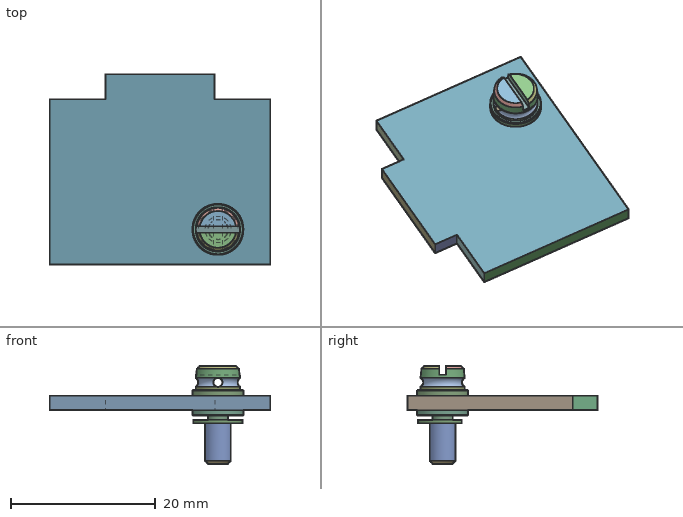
import cadquery as cq

plate_length = 30.5
plate_depth = 22.85
plate_thickness = 2.0
tab_start = 7.72
tab_width = 15.07
tab_depth = 3.45

screw_x = 23.25
screw_y = 4.88
flange_radius = 3.55
flange_height = 0.75
flange_chamfer = 0.12
neck_radius = 1.4
neck_height = 0.58
clip_radius = 3.42
clip_thickness = 0.5
clip_flat_offset = 2.65
shank_radius = 1.8
shank_length = 5.6
shank_chamfer = 0.45

knob_radius = 3.08
knob_rim_radius = 2.95
knob_top_radius = 2.53
knob_height = 3.32
knob_chamfer = 0.43
collar_height = 0.43
groove_height = 1.25
groove_depth = 0.35
slot_width = 0.9
slot_depth = 1.2
cross_hole_diameter = 1.22

flange_top = plate_thickness + flange_height
knob_top = flange_top + knob_height
groove_bottom = flange_top + collar_height
groove_middle = groove_bottom + groove_height / 2
groove_top = groove_bottom + groove_height
flange_bottom = -flange_height
clip_top = flange_bottom - neck_height
clip_bottom = clip_top - clip_thickness
shank_bottom = clip_bottom - shank_length


def disc(radius, bottom, height):
    """Cylinder on the screw axis, rising from the given level."""
    return cq.Workplane("XY", origin=(screw_x, screw_y, bottom)).circle(radius).extrude(height)


def make_plate():
    tab_end = tab_start + tab_width
    tab_top = plate_depth + tab_depth
    outline = [
        (0, 0),
        (plate_length, 0),
        (plate_length, plate_depth),
        (tab_end, plate_depth),
        (tab_end, tab_top),
        (tab_start, tab_top),
        (tab_start, plate_depth),
        (0, plate_depth),
    ]
    return cq.Workplane("XY").polyline(outline).close().extrude(plate_thickness)


def make_flanges():
    """One bushing through the plate, standing out on both faces."""
    bushing = disc(flange_radius, flange_bottom, flange_top - flange_bottom)
    return bushing.faces("<Z or >Z").edges().chamfer(flange_chamfer)


def make_knob():
    """Turned knob with a round groove, a driver slot and a cross hole."""
    knob = (
        cq.Workplane("XZ", origin=(screw_x, screw_y, 0))
        .moveTo(0, flange_top)
        .lineTo(knob_radius, flange_top)
        .lineTo(knob_radius, groove_bottom)
        .threePointArc((knob_radius - groove_depth, groove_middle), (knob_radius, groove_top))
        .lineTo(knob_rim_radius, knob_top - knob_chamfer)
        .lineTo(knob_top_radius, knob_top)
        .lineTo(0, knob_top)
        .close()
        .revolve(360, (0, 0), (0, 1))
    )
    slot = cq.Workplane("XY", origin=(screw_x, screw_y, knob_top - slot_depth)).box(
        2 * knob_radius, slot_width, slot_depth, centered=(True, True, False)
    )
    cross_hole = (
        cq.Workplane("XZ", origin=(screw_x, screw_y, groove_middle))
        .circle(cross_hole_diameter / 2)
        .extrude(knob_radius, both=True)
    )
    return knob.cut(slot).cut(cross_hole)


def make_clip():
    """Retaining disc with a flat on its +Y side."""
    clip_depth = clip_radius + clip_flat_offset
    keep = cq.Workplane("XY", origin=(screw_x, screw_y - clip_radius, clip_bottom)).box(
        2 * clip_radius, clip_depth, clip_thickness, centered=(True, False, False)
    )
    return disc(clip_radius, clip_bottom, clip_thickness).intersect(keep)


def make_shank():
    shank = disc(shank_radius, shank_bottom, shank_length)
    return shank.faces("<Z").edges().chamfer(shank_chamfer)


neck = disc(neck_radius, clip_top, neck_height)

result = make_plate()
for piece in (make_flanges(), make_knob(), neck, make_clip(), make_shank()):
    result = result.union(piece)